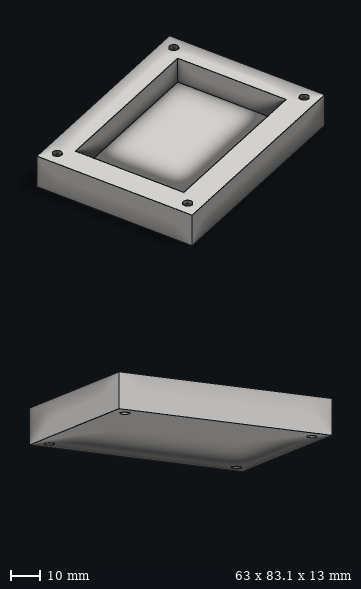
import cadquery as cq

width = 63.0
length = 83.1
height = 13.0

rim = 9.55
pocket_depth = 10
pocket_width = width - 2 * rim
pocket_length = length - 2 * rim

hole_diameter = 3.4
hole_inset = 5.1
hole_spacing_x = width - 2 * hole_inset
hole_spacing_y = length - 2 * hole_inset

block = cq.Workplane("XY").box(width, length, height, centered=(True, True, False))

tray = block.faces(">Z").workplane().rect(pocket_width, pocket_length).cutBlind(-pocket_depth)

hole_layout = cq.Workplane("XY").rect(hole_spacing_x, hole_spacing_y, forConstruction=True).vertices()
holes = hole_layout.circle(hole_diameter / 2).extrude(height)

result = tray.cut(holes)